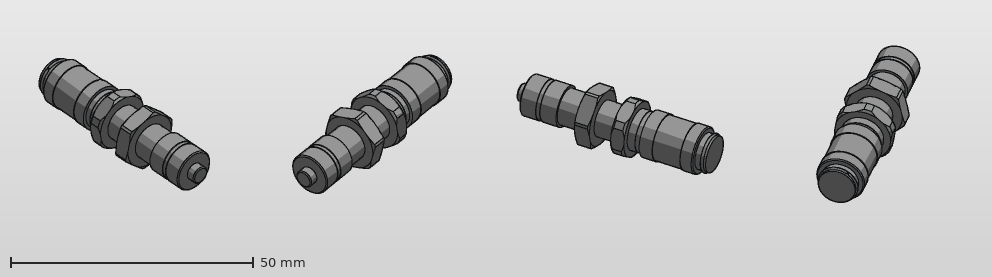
import cadquery as cq


TOTAL_LENGTH = 45.05

SHANK_DIA = 8.0
NECK_DIA = 8.9
COLLAR_DIA = 9.1
CAP_GROOVE_DIA = 8.8
SLEEVE_DIA = 10.35
SLEEVE_WAIST_DIA = 10.0
STUB_DIA = 3.85

SLEEVE_START = 2.5
FRONT_BAND_END = 5.4
REAR_BAND_START = 11.85
SLEEVE_END = 14.85
COLLAR_START = 16.15
HEX_START = 17.95
HEX_LENGTH = 3.1
NUT_START = 25.95
NUT_LENGTH = 3.5
CAP_START = 34.5
CAP_GROOVE_START = 38.3
CAP_GROOVE_END = 39.25
CAP_END = 43.05

SLEEVE_CHAMFER = 0.25
CAP_CHAMFER = 0.25
STUB_CHAMFER = 0.25

RING_CENTRE = 0.88
RING_WIRE_DIA = 0.7
RING_OUTER_DIA = 8.65
RING_GAP = 0.3
RING_GAP_TURN = 32.0

ACROSS_FLATS = 12.0
CHAMFER_FACE_DIA = 12.1
HEX_CORNER_DIA = 13.0
HEX_CHAMFER_LENGTH = 0.5
HEX_TURN = 8.3
NUT_CORNER_DIA = 13.5
NUT_CHAMFER_LENGTH = 0.25
NUT_TURN = -12.85


def cylinder(start, end, diameter):
    """Solid cylinder on the X axis."""
    return cq.Workplane("YZ", origin=(start, 0, 0)).circle(diameter / 2).extrude(end - start)


def hexagon(start, length, corner_dia, chamfer_length, turn):
    """Hexagonal prism on the X axis, corners turned down and chamfered at both ends."""
    prism = (
        cq.Workplane("YZ", origin=(start, 0, 0))
        .polygon(6, ACROSS_FLATS, circumscribed=True)
        .extrude(length)
        .rotate((0, 0, 0), (1, 0, 0), turn)
    )
    end = start + length
    face_radius = CHAMFER_FACE_DIA / 2
    corner_radius = corner_dia / 2
    envelope = (
        cq.Workplane("XY")
        .moveTo(start, 0)
        .lineTo(start, face_radius)
        .lineTo(start + chamfer_length, corner_radius)
        .lineTo(end - chamfer_length, corner_radius)
        .lineTo(end, face_radius)
        .lineTo(end, 0)
        .close()
        .revolve(360, (0, 0, 0), (1, 0, 0))
    )
    return prism.intersect(envelope)


def snap_ring():
    """Round wire ring half sunk in the nose, with a small gap between its ends."""
    centre_radius = (RING_OUTER_DIA - RING_WIRE_DIA) / 2
    ring = (
        cq.Workplane("XY")
        .center(RING_CENTRE, centre_radius)
        .circle(RING_WIRE_DIA / 2)
        .revolve(360, (0, -centre_radius, 0), (1, -centre_radius, 0))
    )
    gap = (
        cq.Workplane("XY", origin=(RING_CENTRE, 0, 0))
        .rect(RING_WIRE_DIA, RING_GAP)
        .extrude(RING_OUTER_DIA / 2)
        .rotate((0, 0, 0), (1, 0, 0), RING_GAP_TURN)
    )
    return ring.cut(gap)


def coupling_body():
    """Nose, sleeve, neck, fixed hexagon, shank, cap and stub as one turned solid."""
    sleeve = (
        cylinder(SLEEVE_START, FRONT_BAND_END, SLEEVE_DIA)
        .faces("<X").chamfer(SLEEVE_CHAMFER)
        .union(cylinder(FRONT_BAND_END, REAR_BAND_START, SLEEVE_WAIST_DIA))
        .union(cylinder(REAR_BAND_START, SLEEVE_END, SLEEVE_DIA))
    )
    cap = (
        cylinder(CAP_START, CAP_GROOVE_START, COLLAR_DIA)
        .union(cylinder(CAP_GROOVE_START, CAP_GROOVE_END, CAP_GROOVE_DIA))
        .union(cylinder(CAP_GROOVE_END, CAP_END, COLLAR_DIA).faces(">X").chamfer(CAP_CHAMFER))
    )
    stub = cylinder(CAP_END, TOTAL_LENGTH, STUB_DIA).faces(">X").chamfer(STUB_CHAMFER)
    return (
        cylinder(0, CAP_START, SHANK_DIA)
        .union(snap_ring())
        .union(sleeve)
        .union(cylinder(SLEEVE_END, COLLAR_START, NECK_DIA))
        .union(cylinder(COLLAR_START, HEX_START, COLLAR_DIA))
        .union(hexagon(HEX_START, HEX_LENGTH, HEX_CORNER_DIA, HEX_CHAMFER_LENGTH, HEX_TURN))
        .union(cap)
        .union(stub)
    )


def lock_nut():
    """Loose hexagonal nut fitting the shank."""
    blank = hexagon(NUT_START, NUT_LENGTH, NUT_CORNER_DIA, NUT_CHAMFER_LENGTH, NUT_TURN)
    return blank.cut(cylinder(NUT_START, NUT_START + NUT_LENGTH, SHANK_DIA))


body = coupling_body()
nut = lock_nut()

result = cq.Compound.makeCompound([body.val(), nut.val()])